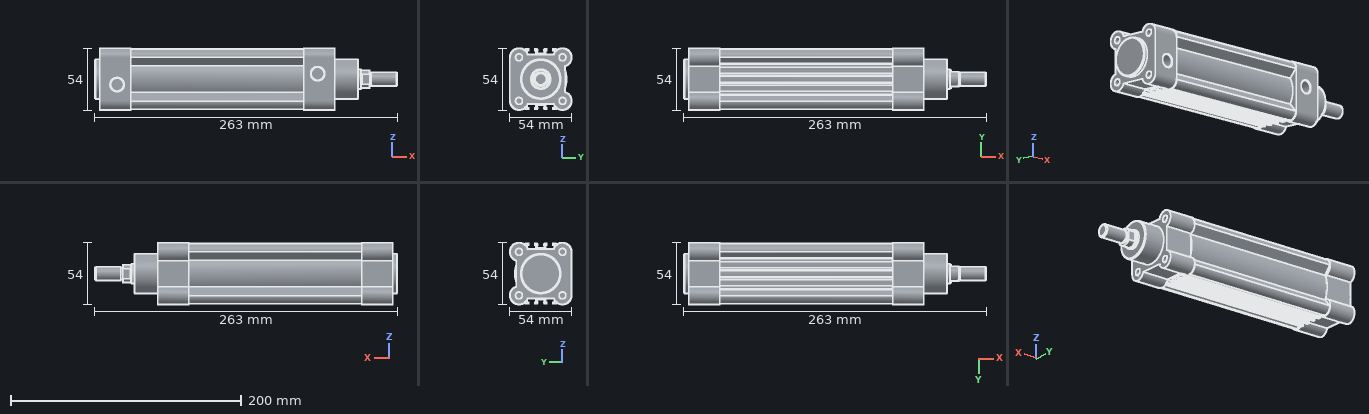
import cadquery as cq
import math


rear_boss_length = 4.0
cap_length = 27.0
tube_length = 150.5
front_boss_length = 20.5
seal_length = 2.5
total_length = 263.0

rear_cap_start = rear_boss_length
tube_start = rear_cap_start + cap_length
front_cap_start = tube_start + tube_length
front_cap_end = front_cap_start + cap_length
seal_start = front_cap_end + front_boss_length
rod_start = seal_start + seal_length

screw_offset = 19.0
cap_width = 54.0
cap_half_width = cap_width / 2
cap_lobe_radius = cap_half_width - screw_offset
cap_flat_offset = 21.3
screw_hole_diameter = 6.0
screw_hole_depth = 13.2
boss_radius = 17.4
boss_chamfer = 0.8
port_diameter = 12.4
port_depth = 13.2
port_chamfer = 0.5
port_height = 4.7
rear_port_x = 19.2
front_port_x = 193.5
seal_radius = 8.7
seal_chamfer = 0.8

barrel_radius = 22.5
tube_half_width = 26.3
tube_lobe_radius = 7.0
lobe_flank_end = 11.5
slot_floor = 21.8
lip_thickness = 1.5
inner_rail_lip = (2.5, 5.3)
inner_rail_stem = (3.2, 4.5)
outer_rail_lip_start = 10.5
outer_rail_stem_start = 11.5
outer_rail_end = 14.0
rail_chamfer = 0.8

rod_radius = 8.0
flat_half_width = 6.5
flat_setback = 0.8
flat_start = rod_start + flat_setback
shoulder_x = 238.8
neck_length = 1.5
neck_radius = 5.3
thread_radius = 6.0
thread_chamfer = 1.0


def disc(radius, start_x, length):
    """Cylinder on the X axis."""
    return cq.Workplane("YZ").workplane(offset=start_x).circle(radius).extrude(length)


def cap_block(start_x):
    """Cap body: three recessed sides between round corner lobes, and a full-width -Y side."""
    block = (
        cq.Workplane("YZ")
        .workplane(offset=start_x)
        .rect(2 * cap_flat_offset, 2 * cap_flat_offset)
        .extrude(cap_length)
    )
    lobes = (
        cq.Workplane("YZ")
        .workplane(offset=start_x)
        .rect(2 * screw_offset, 2 * screw_offset, forConstruction=True)
        .vertices()
        .circle(cap_lobe_radius)
        .extrude(cap_length)
    )
    port_side = cq.Workplane("XY").box(
        cap_length, cap_half_width, 2 * screw_offset, centered=(False, False, True)
    ).translate((start_x, -cap_half_width, 0))
    return block.union(lobes).union(port_side)


def screw_holes(start_x):
    """Four blind corner holes reaching from start_x in the +X direction."""
    return (
        cq.Workplane("YZ")
        .workplane(offset=start_x)
        .rect(2 * screw_offset, 2 * screw_offset, forConstruction=True)
        .vertices()
        .circle(screw_hole_diameter / 2)
        .extrude(screw_hole_depth)
    )


def port(x, z):
    """Blind air port entering from the -Y side, with a slightly countersunk mouth."""
    mouth = cq.Workplane("XZ", origin=(x, -cap_half_width, z))
    bore = mouth.circle(port_diameter / 2 - port_chamfer).extrude(-port_depth)
    countersink = mouth.circle(port_diameter / 2).extrude(-port_chamfer, taper=45)
    return bore.union(countersink)


def make_rear_cap():
    boss = disc(boss_radius, 0, rear_boss_length).faces("<X").chamfer(boss_chamfer)
    cap = cap_block(rear_cap_start).union(boss)
    return cap.cut(screw_holes(rear_cap_start)).cut(port(rear_port_x, -port_height))


def make_front_cap():
    boss = disc(boss_radius, front_cap_end, front_boss_length).faces(">X").chamfer(boss_chamfer)
    seal = disc(seal_radius, seal_start, seal_length).faces(">X").chamfer(seal_chamfer)
    cap = cap_block(front_cap_start).union(boss).union(seal)
    holes = screw_holes(front_cap_end - screw_hole_depth)
    return cap.cut(holes).cut(port(front_port_x, port_height))


def on_barrel(offset):
    """Distance from the axis plane to the barrel surface at a sideways offset."""
    return math.sqrt(barrel_radius**2 - offset**2)


def make_tube():
    """Solid barrel profile with corner lobes and slotted rails, mirrored from one quarter."""
    lip_bottom = tube_half_width - lip_thickness
    lobe_center = tube_half_width - tube_lobe_radius
    groove_bottom = tube_half_width - (lobe_center - outer_rail_end)
    lobe_mid = lobe_center + tube_lobe_radius * math.sqrt(0.5)
    crown_mid = inner_rail_stem[0] / 2
    side_mid = lobe_flank_end / 2
    quarter = (
        cq.Workplane("YZ")
        .workplane(offset=tube_start)
        .lineTo(0, barrel_radius)
        .threePointArc(
            (crown_mid, on_barrel(crown_mid)),
            (inner_rail_stem[0], on_barrel(inner_rail_stem[0])),
        )
        .lineTo(inner_rail_stem[0], lip_bottom)
        .lineTo(inner_rail_lip[0], lip_bottom)
        .lineTo(inner_rail_lip[0], tube_half_width - rail_chamfer)
        .lineTo(inner_rail_lip[0] + rail_chamfer, tube_half_width)
        .lineTo(inner_rail_lip[1], tube_half_width)
        .lineTo(inner_rail_lip[1], lip_bottom)
        .lineTo(inner_rail_stem[1], lip_bottom)
        .lineTo(inner_rail_stem[1], slot_floor)
        .lineTo(outer_rail_stem_start, slot_floor)
        .lineTo(outer_rail_stem_start, lip_bottom)
        .lineTo(outer_rail_lip_start, lip_bottom)
        .lineTo(outer_rail_lip_start, tube_half_width)
        .lineTo(outer_rail_end - rail_chamfer, tube_half_width)
        .lineTo(outer_rail_end, tube_half_width - rail_chamfer)
        .lineTo(outer_rail_end, groove_bottom)
        .lineTo(lobe_center, tube_half_width)
        .threePointArc((lobe_mid, lobe_mid), (tube_half_width, lobe_center))
        .lineTo(on_barrel(lobe_flank_end), lobe_flank_end)
        .threePointArc((on_barrel(side_mid), side_mid), (barrel_radius, 0))
        .close()
        .extrude(tube_length)
    )
    half = quarter.union(quarter.mirror("XY"))
    return half.union(half.mirror("XZ")).clean()


def make_rod():
    """Rod end with two wrench flats facing Y, a neck and a threaded stud."""
    thread_start = shoulder_x + neck_length
    shank = disc(rod_radius, rod_start, shoulder_x - rod_start)
    flat_length = shoulder_x - flat_start
    for side in (-1, 1):
        waste = cq.Workplane("XY").box(
            flat_length, rod_radius, 2 * rod_radius, centered=(False, True, True)
        )
        shank = shank.cut(waste.translate((flat_start, side * (flat_half_width + rod_radius / 2), 0)))
    neck = disc(neck_radius, shoulder_x, neck_length)
    thread = disc(thread_radius, thread_start, total_length - thread_start)
    thread = thread.faces(">X").chamfer(thread_chamfer)
    return shank.union(neck).union(thread)


rear_cap = make_rear_cap()
tube = make_tube()
front_cap = make_front_cap()
piston_rod = make_rod()

result = cq.Compound.makeCompound([rear_cap.val(), tube.val(), front_cap.val(), piston_rod.val()])